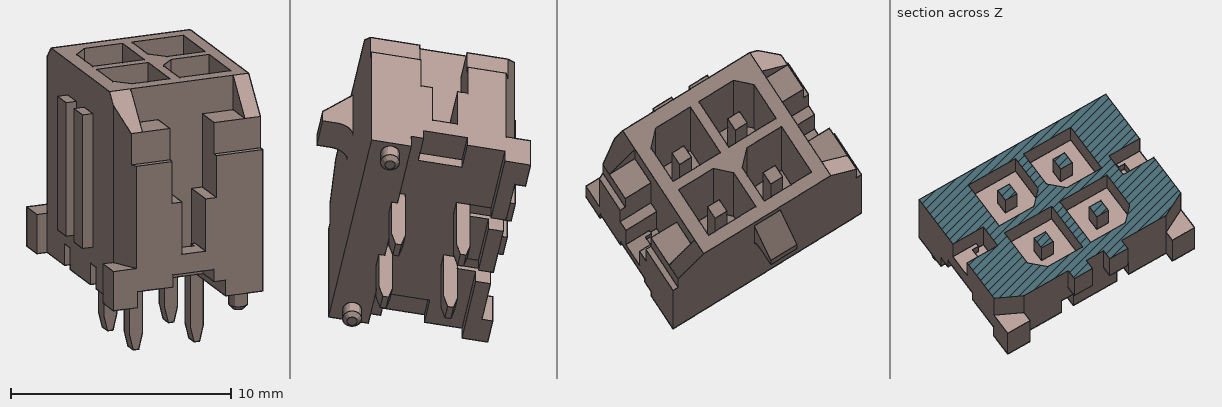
import cadquery as cq
import math


OVERALL_DEPTH = 8.77
OVERALL_HEIGHT = 13.09

HOUSING_WIDTH = 10.15
HOUSING_HEIGHT = 9.92
HOUSING_BACK = 3.38
HOUSING_FRONT = -3.48
CORE_WIDTH = 6.84

SHOULDER_WIDTH = 9.6
SHOULDER_HEIGHT = 8.27
STEP_HEIGHT = 6.77

CORNER_INNER_X = 3.86
CORNER_BACK_Y = -2.85
FOOT_FRONT = -3.985
FOOT_HEIGHT = 1.88

SHOULDER_POCKET = (2.61, -2.44, SHOULDER_HEIGHT)
WIDE_SLOT = (1.09, -1.09, 4.77)
NARROW_SLOT = (0.56, -0.6, 2.27)
SINK_X = 3.81
SINK_TONGUE_X = 4.13
SINK_TONGUE_BACK = 0.38
SINK_TONGUE_FRONT = -0.42
SINK_FLOOR = 1.8

CHANNEL_BACK = 1.54
CHANNEL_FRONT = -2.79
CHANNEL_HEIGHT = 0.76
NOTCH_BACK = 0.97
NOTCH_FRONT = -1.05
NOTCH_HEIGHT = 1.34

PITCH = 3.0
PIN_SIZE = 0.64
PIN_TIP_Z = HOUSING_HEIGHT - OVERALL_HEIGHT
PIN_TAPER_Z = -2.42
PIN_TIP_THICKNESS = 0.27
PIN_TOP_Z = 8.0
PIN_SLOT_HEIGHT = 1.03
CAVITY_SIZE = 2.54
CAVITY_CHAMFER = 0.67
CAVITY_FLOOR = 2.27

RIB_WIDTH = 1.0
RIB_CENTRE_X = 0.96

LATCH_WIDTH = 1.4
LATCH_TIP_Y = FOOT_FRONT + OVERALL_DEPTH
LATCH_TOP_Z = 9.34
LATCH_TIP_TOP_Z = 7.7
LATCH_TIP_BOTTOM_Z = 6.98
LATCH_ROOT_RADIUS = 0.74

PEG_DIAMETER = 0.86
PEG_X = 4.48
PEG_Y = 2.41
PEG_LENGTH = 0.87
PEG_CHAMFER = 0.2

SIDES = (-1, 1)
PIN_OFFSETS = (-PITCH / 2, PITCH / 2)


def block(x1, x2, y1, y2, z1, z2):
    """Box spanning the given pairs of coordinates, in either order."""
    return (
        cq.Workplane("XY")
        .box(abs(x2 - x1), abs(y2 - y1), abs(z2 - z1))
        .translate(((x1 + x2) / 2, (y1 + y2) / 2, (z1 + z2) / 2))
    )


def housing():
    """Outer shell: stepped and bevelled profile run from front to back."""
    half_outline = [
        (HOUSING_WIDTH / 2, 0),
        (HOUSING_WIDTH / 2, STEP_HEIGHT),
        (SHOULDER_WIDTH / 2, STEP_HEIGHT),
        (SHOULDER_WIDTH / 2, SHOULDER_HEIGHT),
        (CORE_WIDTH / 2, HOUSING_HEIGHT),
    ]
    mirrored = [(-x, z) for x, z in reversed(half_outline)]
    return (
        cq.Workplane("XZ", origin=(0, HOUSING_BACK, 0))
        .polyline(half_outline + mirrored)
        .close()
        .extrude(HOUSING_BACK - HOUSING_FRONT)
    )


def corner_cut(side):
    """Triangular prism that bevels a front corner above its foot."""
    outer = side * HOUSING_WIDTH / 2
    return (
        cq.Workplane("XY", origin=(0, 0, FOOT_HEIGHT))
        .moveTo(side * CORNER_INNER_X, HOUSING_FRONT)
        .lineTo(outer, CORNER_BACK_Y)
        .lineTo(outer, HOUSING_FRONT)
        .close()
        .extrude(HOUSING_HEIGHT - FOOT_HEIGHT)
    )


def foot(side):
    return block(
        side * CORNER_INNER_X, side * HOUSING_WIDTH / 2, FOOT_FRONT, CORNER_BACK_Y, 0, FOOT_HEIGHT
    )


def side_pocket(side):
    """Pocket that narrows downwards in steps, ending in a sunk inner floor."""
    inner = side * CORE_WIDTH / 2
    outer = side * HOUSING_WIDTH / 2
    slot_back, slot_front, slot_floor = NARROW_SLOT
    pocket = block(inner, side * SINK_X, slot_back, slot_front, SINK_FLOOR, slot_floor)
    pocket = pocket.union(
        block(inner, side * SINK_TONGUE_X, SINK_TONGUE_BACK, SINK_TONGUE_FRONT, SINK_FLOOR, slot_floor)
    )
    for back, front, floor in (SHOULDER_POCKET, WIDE_SLOT, NARROW_SLOT):
        pocket = pocket.union(block(inner, outer, back, front, floor, HOUSING_HEIGHT))
    return pocket


def underside_channel():
    """Channel across the whole width, with a blind notch above it at each end."""
    half_width = HOUSING_WIDTH / 2
    channel = block(-half_width, half_width, CHANNEL_BACK, CHANNEL_FRONT, 0, CHANNEL_HEIGHT)
    for side in SIDES:
        channel = channel.union(
            block(side * SINK_X, side * half_width, NOTCH_BACK, NOTCH_FRONT, 0, NOTCH_HEIGHT)
        )
    return channel


def pin_slot(x):
    """Slot from the front face up to the front-row pin."""
    pin_face = -(PITCH + PIN_SIZE) / 2
    return block(x - PIN_SIZE / 2, x + PIN_SIZE / 2, HOUSING_FRONT, pin_face, 0, PIN_SLOT_HEIGHT)


def cavity(x, y, key_side):
    """Square cavity with its front corner bevelled on the given side."""
    half = CAVITY_SIZE / 2
    key_start = half - CAVITY_CHAMFER
    return (
        cq.Workplane("XY", origin=(x, y, CAVITY_FLOOR))
        .moveTo(-key_side * half, -half)
        .lineTo(-key_side * half, half)
        .lineTo(key_side * half, half)
        .lineTo(key_side * half, -key_start)
        .lineTo(key_side * key_start, -half)
        .close()
        .extrude(HOUSING_HEIGHT - CAVITY_FLOOR)
    )


def cavities():
    """The back row is keyed towards the middle, the front row towards the sides."""
    rows = cq.Workplane("XY")
    for side in SIDES:
        x = side * PITCH / 2
        rows = rows.add(cavity(x, PITCH / 2, -side))
        rows = rows.add(cavity(x, -PITCH / 2, side))
    return rows.combine()


def pin(x, y):
    """Square contact whose tail tapers in Y only."""
    half = PIN_SIZE / 2
    half_tip = PIN_TIP_THICKNESS / 2
    return (
        cq.Workplane("YZ", origin=(x - half, y, 0))
        .polyline([
            (-half, PIN_TOP_Z),
            (-half, PIN_TAPER_Z),
            (-half_tip, PIN_TIP_Z),
            (half_tip, PIN_TIP_Z),
            (half, PIN_TAPER_Z),
            (half, PIN_TOP_Z),
        ])
        .close()
        .extrude(PIN_SIZE)
    )


def rib(side):
    centre = side * RIB_CENTRE_X
    return block(
        centre - RIB_WIDTH / 2, centre + RIB_WIDTH / 2,
        FOOT_FRONT, HOUSING_FRONT, FOOT_HEIGHT, SHOULDER_HEIGHT,
    )


def latch():
    """Hook with a sloped top and a concave root underneath."""
    root_z = LATCH_TIP_BOTTOM_Z - LATCH_ROOT_RADIUS
    root_y = HOUSING_BACK + LATCH_ROOT_RADIUS
    diagonal = LATCH_ROOT_RADIUS * math.sqrt(0.5)
    return (
        cq.Workplane("YZ", origin=(-LATCH_WIDTH / 2, 0, 0))
        .moveTo(HOUSING_BACK, LATCH_TOP_Z)
        .lineTo(LATCH_TIP_Y, LATCH_TIP_TOP_Z)
        .lineTo(LATCH_TIP_Y, LATCH_TIP_BOTTOM_Z)
        .lineTo(root_y, LATCH_TIP_BOTTOM_Z)
        .threePointArc((root_y - diagonal, root_z + diagonal), (HOUSING_BACK, root_z))
        .close()
        .extrude(LATCH_WIDTH)
    )


def peg(side):
    return (
        cq.Workplane("XY", origin=(side * PEG_X, PEG_Y, 0))
        .circle(PEG_DIAMETER / 2)
        .extrude(-PEG_LENGTH)
        .faces("<Z")
        .chamfer(PEG_CHAMFER)
    )


result = housing().cut(underside_channel()).cut(cavities())
for side in SIDES:
    result = result.cut(corner_cut(side)).cut(side_pocket(side))
    result = result.union(foot(side)).union(rib(side)).union(peg(side))
for x in PIN_OFFSETS:
    result = result.cut(pin_slot(x))
    for y in PIN_OFFSETS:
        result = result.union(pin(x, y))
result = result.union(latch())